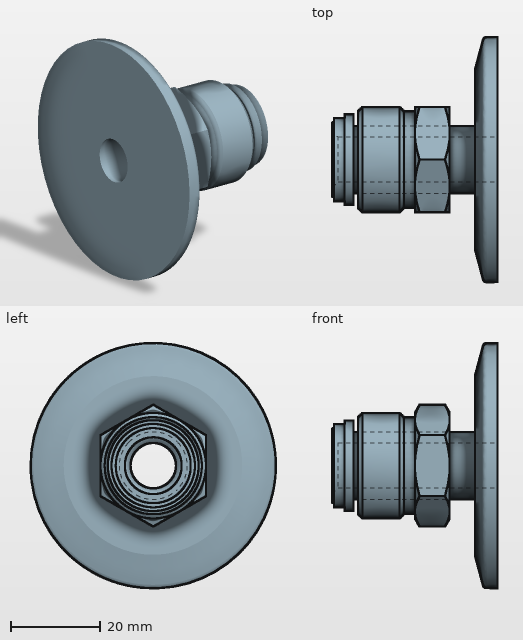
import cadquery as cq
import math

OVERALL_LENGTH = 37.1

BORE_RADIUS = 5.05
BORE_MOUTH_RADIUS = 6.4
BORE_MOUTH_DEPTH = BORE_MOUTH_RADIUS - BORE_RADIUS
TUBE_RADIUS = 7.6
BEAD_RADIUS = 8.4
BEAD_HEIGHT = 0.45
BEAD_ROUND = 0.4
HEAD_RADIUS = 9.35
COLLAR_RADIUS = 10.2
COLLAR_START = 2.85
COLLAR_END = 4.85

FLANGE_RADIUS = 27.5
FLANGE_FLAT_RADIUS = 20.0
FLANGE_THICKNESS = 5.1
FLANGE_CONE_ANGLE = 15.0
RIM_ROUND = 1.0

NUT_START = 5.85
BARREL_RADIUS = 11.8
RELIEF_RADIUS = 10.9
BARREL_CHAMFER = BARREL_RADIUS - RELIEF_RADIUS
BARREL_FRONT_CHAMFER_LENGTH = 1.05
RELIEF_START = 16.1
HEX_START = 18.6
HEX_END = 26.4
HEX_FLAT_RADIUS = BARREL_RADIUS
HEX_CORNER_RADIUS = HEX_FLAT_RADIUS / math.cos(math.radians(30))
HEX_CHAMFER_ANGLE = 30.0


def revolve_about_x(profile):
    """Turn a closed (x, radius) profile one full revolution about the X axis."""
    return profile.close().revolve(360, (0, 0, 0), (1, 0, 0))


def cylinder_along_x(radius, start, end):
    return cq.Workplane("YZ", origin=(start, 0, 0)).circle(radius).extrude(end - start)


def make_sealing_head():
    """Rounded bead, head and collar, in order from the tip."""
    bead = cylinder_along_x(BEAD_RADIUS, 0, COLLAR_END).faces("<X").edges().fillet(BEAD_ROUND)
    head = cylinder_along_x(HEAD_RADIUS, BEAD_HEIGHT, COLLAR_END)
    collar = cylinder_along_x(COLLAR_RADIUS, COLLAR_START, COLLAR_END)
    return bead.union(head).union(collar)


def make_flange():
    """Disc whose front face slopes back to a rounded rim."""
    front = OVERALL_LENGTH - FLANGE_THICKNESS
    slope = math.tan(math.radians(FLANGE_CONE_ANGLE))
    rim_front = front + (FLANGE_RADIUS - FLANGE_FLAT_RADIUS) * slope
    profile = (
        cq.Workplane("XY")
        .moveTo(front, 0)
        .lineTo(front, FLANGE_FLAT_RADIUS)
        .lineTo(rim_front, FLANGE_RADIUS)
        .lineTo(OVERALL_LENGTH, FLANGE_RADIUS)
        .lineTo(OVERALL_LENGTH, 0)
    )
    rim_edge = cq.selectors.BoxSelector(
        (rim_front - RIM_ROUND, -RIM_ROUND, -RIM_ROUND),
        (rim_front + RIM_ROUND, RIM_ROUND, RIM_ROUND),
    )
    return revolve_about_x(profile).edges(rim_edge).fillet(RIM_ROUND)


def make_bore():
    """Through bore with a countersunk mouth at the tip."""
    profile = (
        cq.Workplane("XY")
        .lineTo(0, BORE_MOUTH_RADIUS)
        .lineTo(BORE_MOUTH_DEPTH, BORE_RADIUS)
        .lineTo(OVERALL_LENGTH, BORE_RADIUS)
        .lineTo(OVERALL_LENGTH, 0)
    )
    return revolve_about_x(profile)


def make_gland():
    tube = cylinder_along_x(TUBE_RADIUS, COLLAR_START, OVERALL_LENGTH)
    return tube.union(make_sealing_head()).union(make_flange()).cut(make_bore())


def make_barrel():
    """Barrel chamfered at both ends, stepping down to the relief neck."""
    profile = (
        cq.Workplane("XY")
        .moveTo(NUT_START, 0)
        .lineTo(NUT_START, BARREL_RADIUS - BARREL_CHAMFER)
        .lineTo(NUT_START + BARREL_FRONT_CHAMFER_LENGTH, BARREL_RADIUS)
        .lineTo(RELIEF_START - BARREL_CHAMFER, BARREL_RADIUS)
        .lineTo(RELIEF_START, RELIEF_RADIUS)
        .lineTo(HEX_END, RELIEF_RADIUS)
        .lineTo(HEX_END, 0)
    )
    return revolve_about_x(profile)


def make_hexagon():
    """Hexagon with corners on +Z and -Z, its corners chamfered at both ends."""
    prism = (
        cq.Workplane("YZ", origin=(HEX_START, 0, 0))
        .transformed(rotate=(0, 0, 90))
        .polygon(6, 2 * HEX_CORNER_RADIUS)
        .extrude(HEX_END - HEX_START)
    )
    chamfer_length = (HEX_CORNER_RADIUS - HEX_FLAT_RADIUS) * math.tan(math.radians(HEX_CHAMFER_ANGLE))
    profile = (
        cq.Workplane("XY")
        .moveTo(HEX_START, 0)
        .lineTo(HEX_START, HEX_FLAT_RADIUS)
        .lineTo(HEX_START + chamfer_length, HEX_CORNER_RADIUS)
        .lineTo(HEX_END - chamfer_length, HEX_CORNER_RADIUS)
        .lineTo(HEX_END, HEX_FLAT_RADIUS)
        .lineTo(HEX_END, 0)
    )
    return prism.intersect(revolve_about_x(profile))


def make_nut():
    tube_hole = cylinder_along_x(TUBE_RADIUS, NUT_START, HEX_END)
    return make_barrel().union(make_hexagon()).cut(tube_hole)


gland = make_gland()
nut = make_nut()
result = cq.Compound.makeCompound([gland.solids().val(), nut.solids().val()])